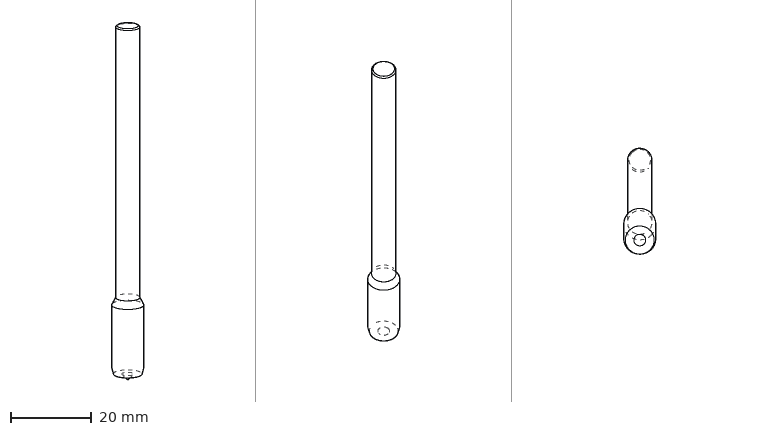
import cadquery as cq

total_length = 91.6
tip_height = 1.6
nose_height = 1.65
head_length = 19.8
shoulder_height = 1.9
end_chamfer = 0.4

head_diameter = 8.0
shank_diameter = 6.0
head_radius = head_diameter / 2
shank_radius = shank_diameter / 2
nose_radius = 3.6
tip_radius = 1.5

tip_z = -total_length / 2
base_z = tip_z + tip_height
barrel_bottom_z = base_z + nose_height
shoulder_top_z = base_z + head_length
barrel_top_z = shoulder_top_z - shoulder_height
top_z = total_length / 2


def make_holder():
    """Turned holder: tapered nose, barrel, tapered shoulder and slim shank."""
    return (
        cq.Workplane("XZ")
        .moveTo(0, base_z)
        .lineTo(nose_radius, base_z)
        .lineTo(head_radius, barrel_bottom_z)
        .lineTo(head_radius, barrel_top_z)
        .lineTo(shank_radius, shoulder_top_z)
        .lineTo(shank_radius, top_z - end_chamfer)
        .lineTo(shank_radius - end_chamfer, top_z)
        .lineTo(0, top_z)
        .close()
        .revolve(360, (0, 0), (0, 1))
    )


def make_tip():
    """Pointed cone seated on the flat lower face of the holder."""
    return (
        cq.Workplane("XZ")
        .moveTo(0, tip_z)
        .lineTo(tip_radius, base_z)
        .lineTo(0, base_z)
        .close()
        .revolve(360, (0, 0), (0, 1))
    )


holder = make_holder()
tip = make_tip()
result = cq.Compound.makeCompound([holder.val(), tip.val()])